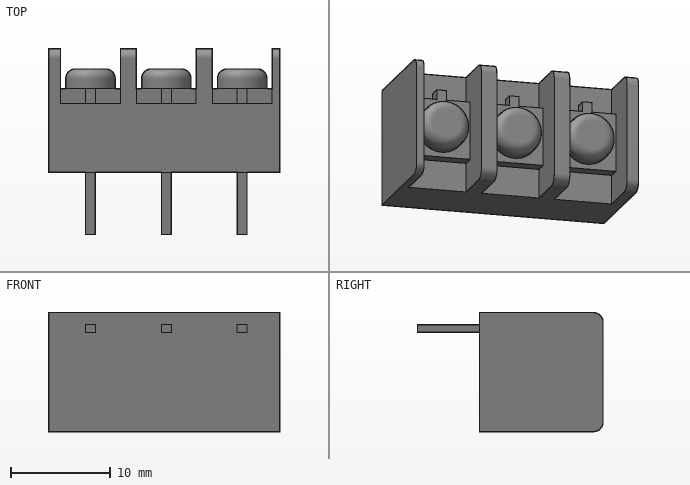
import cadquery as cq

length = 23.27
depth = 12.45
height = 12.0
corner_radius = 1.0

bay_count = 3
pitch = 7.63
bay_width = 6.0
bay_depth = 5.51
left_wall = 1.2
bay_floor = depth - bay_depth

plate_size = bay_width
plate_top = plate_size / 2
plate_thickness = 1.5
plate_front = bay_floor + plate_thickness

head_diameter = 5.0
head_height = 2.0
head_rounding = 1.0

pin_width = 1.0
pin_thickness = 0.77
pin_length = 6.25
pin_top_gap = 1.23
pin_top = height / 2 - pin_top_gap
pin_bottom = pin_top - pin_thickness

tongue_top = pin_bottom

first_bay_x = left_wall + bay_width / 2
bay_centres = [first_bay_x + i * pitch for i in range(bay_count)]


def box_between(x_centre, width, y_range, z_range):
    """Box centred on x_centre that spans the given Y and Z ranges."""
    y_low, y_high = y_range
    z_low, z_high = z_range
    return (
        cq.Workplane("XY")
        .box(width, y_high - y_low, z_high - z_low, centered=(True, False, False))
        .translate((x_centre, y_low, z_low))
    )


def make_housing():
    """Block with rounded upper and lower front edges, cut by the open bays."""
    full_height = (-height / 2, height / 2)
    housing = box_between(length / 2, length, (0, depth), full_height)
    housing = housing.faces(">Y").edges("|X").fillet(corner_radius)
    for x in bay_centres:
        housing = housing.cut(box_between(x, bay_width, (bay_floor, depth), full_height))
    return housing


def make_screw_head(x_centre):
    """Round head with a rounded front rim, axis along Y."""
    head = cq.Workplane("XZ").circle(head_diameter / 2).extrude(-head_height)
    head = head.faces(">Y").edges().fillet(head_rounding)
    return head.translate((x_centre, plate_front, 0))


def make_terminal(x_centre):
    """Contact plate with its tongue and screw head in the bay, and the pin on the back face."""
    plate_y = (bay_floor, plate_front)
    plate = box_between(x_centre, plate_size, plate_y, (-plate_top, plate_top))
    tongue = box_between(x_centre, pin_width, plate_y, (plate_top, tongue_top))
    pin = box_between(x_centre, pin_width, (-pin_length, 0), (pin_bottom, pin_top))
    return plate, tongue, make_screw_head(x_centre), pin


result = make_housing()
for bay_x in bay_centres:
    for piece in make_terminal(bay_x):
        result = result.union(piece)